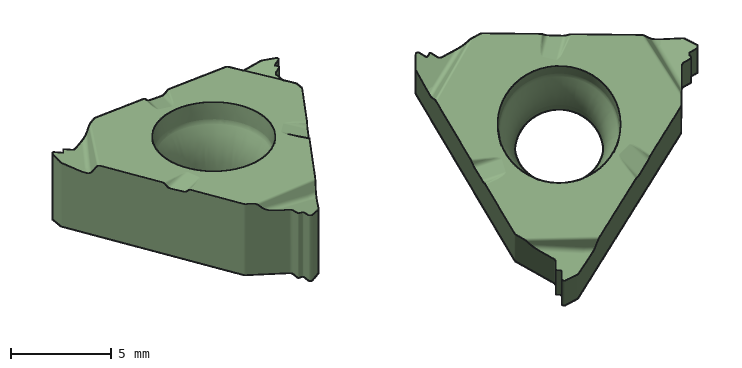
import math

import cadquery as cq

THICKNESS = 4.31
INRADIUS = 9.525 / 2
CORNER_COUNT = 3
CORNER_TURN = 360 / CORNER_COUNT

FLANK_ANGLE = 60
STEP_ANGLE = 30
FLANK_START_Y = 6.19
TOOTH_TOP_Y = 6.88
TOOTH_LAND_WIDTH = 0.15
TOOTH_NOSE_RADIUS = 0.10
TOOTH_VALLEY_Y = 6.434
STEP_LENGTH = 0.297
SHOULDER_Y = 6.10
STEP_RADIUS = 0.07
TOOTH_ROOT_RADIUS = 0.2
OUTLINE_RADIUS = 0.22

RAKE_ANGLE = 10
TOOTH_TOP_DROP = 0.33
RAKE_END_Y = 5.02
WALL_DIRECTION = 32
WALL_ANGLE = 60
WALL_START_Y = 4.03
RIM_RADIUS = 0.17
WALL_FOOT_RADIUS = 0.3
CUTTER_REACH = 4.0
CUTTER_HEIGHT = 1.0

NOTCH_LENGTH = 1.32
NOTCH_WIDTH = 0.93
NOTCH_DIRECTION = -13
NOTCH_SLOPE = 10
NOTCH_WALL_ANGLE = 45
NOTCH_RADIUS = 0.3
NOTCH_RIM_RADIUS = 0.15
NOTCH_CENTRE_Y = -0.23
NOTCH_OVERRUN = 0.5

BORE_RADIUS = 4.4 / 2
MOUTH_RADIUS = 3.08
SEAT_RIM_RADIUS = 3.0
SEAT_RIM_DEPTH = 1.12
SEAT_RIM_BLEND = 0.45
SEAT_BOTTOM_DEPTH = 3.53


def polar(length, angle):
    """Vector of a given length at an angle in degrees from the first axis."""
    turn = math.radians(angle)
    return cq.Vector(length * math.cos(turn), length * math.sin(turn))


def rotated(point, angle):
    """Point turned about the part's axis."""
    return polar(point.Length, angle + math.degrees(math.atan2(point.y, point.x)))


def at_each_corner(shape):
    """Three copies of a shape, one per corner, joined as one."""
    copies = cq.Workplane("XY")
    for index in range(CORNER_COUNT):
        copies = copies.add(shape.rotate((0, 0, 0), (0, 0, 1), index * CORNER_TURN))
    return copies.combine()


def corner_vertices():
    """Sharp outline points of one corner, clockwise, each with its rounding radius."""
    flank_slope = math.tan(math.radians(FLANK_ANGLE))
    flank_start = cq.Vector(-INRADIUS, FLANK_START_Y)
    land_start_x = flank_start.x + (TOOTH_TOP_Y - FLANK_START_Y) / flank_slope
    land_start = cq.Vector(land_start_x, TOOTH_TOP_Y)
    land_end = cq.Vector(land_start_x + TOOTH_LAND_WIDTH, TOOTH_TOP_Y)
    valley_x = land_end.x + (TOOTH_TOP_Y - TOOTH_VALLEY_Y) / flank_slope
    valley = cq.Vector(valley_x, TOOTH_VALLEY_Y)
    crest = valley + polar(STEP_LENGTH, STEP_ANGLE)
    root = cq.Vector(crest.x + (crest.y - SHOULDER_Y) / flank_slope, SHOULDER_Y)
    half_turn = math.radians(CORNER_TURN / 2)
    shoulder_end_x = (INRADIUS - SHOULDER_Y * math.sin(half_turn)) / math.cos(half_turn)
    shoulder_end = cq.Vector(shoulder_end_x, SHOULDER_Y)
    return [
        (flank_start, OUTLINE_RADIUS),
        (land_start, TOOTH_NOSE_RADIUS),
        (land_end, TOOTH_NOSE_RADIUS),
        (valley, STEP_RADIUS),
        (crest, STEP_RADIUS),
        (root, TOOTH_ROOT_RADIUS),
        (shoulder_end, OUTLINE_RADIUS),
    ]


def rounded_polygon(vertices):
    """Closed outline through (point, radius) vertices, each rounded by a tangent arc."""
    outline = None
    for index, (point, radius) in enumerate(vertices):
        before = (vertices[index - 1][0] - point).normalized()
        after = (vertices[(index + 1) % len(vertices)][0] - point).normalized()
        half_angle = before.getAngle(after) / 2
        setback = radius / math.tan(half_angle)
        arc_gap = radius / math.sin(half_angle) - radius
        start = point + before * setback
        middle = point + (before + after).normalized() * arc_gap
        end = point + after * setback
        if outline is None:
            outline = cq.Workplane("XY").moveTo(start.x, start.y)
        else:
            outline = outline.lineTo(start.x, start.y)
        outline = outline.threePointArc((middle.x, middle.y), (end.x, end.y))
    return outline.close()


def make_body():
    vertices = []
    for index in range(CORNER_COUNT):
        for point, radius in corner_vertices():
            vertices.append((rotated(point, -index * CORNER_TURN), radius))
    return rounded_polygon(vertices).extrude(THICKNESS)


def make_chip_breaker():
    """Cutter over one corner: a raked floor that ends at a steep wall."""
    rake = math.tan(math.radians(RAKE_ANGLE))
    top_z = THICKNESS + CUTTER_HEIGHT
    outer_y = TOOTH_TOP_Y + CUTTER_REACH
    inner_y = RAKE_END_Y - CUTTER_REACH
    tooth_top_z = THICKNESS - TOOTH_TOP_DROP
    level_z = tooth_top_z - rake * (TOOTH_TOP_Y - RAKE_END_Y)
    outer_z = tooth_top_z + rake * CUTTER_REACH
    above_floor = (
        cq.Workplane("YZ")
        .moveTo(inner_y, level_z)
        .lineTo(RAKE_END_Y, level_z)
        .lineTo(outer_y, outer_z)
        .lineTo(outer_y, top_z)
        .lineTo(inner_y, top_z)
        .close()
        .extrude(INRADIUS + CUTTER_REACH, both=True)
    )

    along_wall = polar(1, WALL_DIRECTION)
    outward = polar(1, WALL_DIRECTION + 90)
    wall_plane = cq.Plane((-INRADIUS, WALL_START_Y, THICKNESS), outward, along_wall)
    rim_end = polar(RIM_RADIUS, 90 - WALL_ANGLE) - cq.Vector(0, RIM_RADIUS)
    rim_middle = polar(RIM_RADIUS, 90 - WALL_ANGLE / 2) - cq.Vector(0, RIM_RADIUS)
    wall_foot = rim_end + polar(CUTTER_HEIGHT, -WALL_ANGLE)
    outside_wall = (
        cq.Workplane(wall_plane)
        .moveTo(0, 0)
        .threePointArc((rim_middle.x, rim_middle.y), (rim_end.x, rim_end.y))
        .lineTo(wall_foot.x, wall_foot.y)
        .lineTo(CUTTER_REACH, wall_foot.y)
        .lineTo(CUTTER_REACH, CUTTER_HEIGHT)
        .lineTo(0, CUTTER_HEIGHT)
        .close()
        .extrude(INRADIUS + CUTTER_REACH, both=True)
    )
    cutter = above_floor.intersect(outside_wall)
    foot_zone = cq.selectors.BoxSelector(
        (-INRADIUS - CUTTER_REACH / 2, WALL_START_Y - CUTTER_HEIGHT, level_z - RIM_RADIUS),
        (0, TOOTH_TOP_Y, tooth_top_z + RIM_RADIUS),
    )
    crease = cq.selectors.ParallelDirSelector(cq.Vector(1, 0, 0))
    return cutter.edges(foot_zone - crease).fillet(WALL_FOOT_RADIUS)


def notch_inner_end():
    """Middle of the edge where the notch floor meets the top face."""
    face_point = cq.Vector(-INRADIUS, NOTCH_CENTRE_Y)
    return face_point + polar(NOTCH_LENGTH, NOTCH_DIRECTION)


def make_notch():
    """Cutter with a flat sloping floor that runs out at the top face."""
    outward_turn = NOTCH_DIRECTION + 180
    level_run = polar(math.cos(math.radians(NOTCH_SLOPE)), outward_turn)
    drop = math.sin(math.radians(NOTCH_SLOPE))
    floor_direction = level_run - cq.Vector(0, 0, drop)
    across = polar(1, outward_turn + 90)
    inner_end = notch_inner_end() + cq.Vector(0, 0, THICKNESS)
    half_floor = NOTCH_WIDTH / 2
    half_top = half_floor + CUTTER_HEIGHT / math.tan(math.radians(NOTCH_WALL_ANGLE))
    return (
        cq.Workplane(cq.Plane(inner_end, across, floor_direction))
        .polyline([
            (-half_floor, 0),
            (half_floor, 0),
            (half_top, CUTTER_HEIGHT),
            (-half_top, CUTTER_HEIGHT),
        ])
        .close()
        .extrude(NOTCH_LENGTH + NOTCH_OVERRUN)
        .edges(cq.selectors.ParallelDirSelector(floor_direction))
        .fillet(NOTCH_RADIUS)
    )


def round_notch_rims(body):
    """Round each notch rim; it is one smooth chain through the inner end edge."""
    for index in range(CORNER_COUNT):
        inner_end = rotated(notch_inner_end(), index * CORNER_TURN)
        place = (inner_end.x, inner_end.y, THICKNESS)
        rim = cq.selectors.NearestToPointSelector(place)
        body = body.edges(rim).fillet(NOTCH_RIM_RADIUS)
    return body


def make_screw_hole():
    """Turned cutter: tapered mouth, curved seat and straight bore."""
    seat_rim_z = THICKNESS - SEAT_RIM_DEPTH
    seat_bottom_z = THICKNESS - SEAT_BOTTOM_DEPTH
    seat_rise = seat_rim_z - seat_bottom_z
    seat_spread = SEAT_RIM_RADIUS - BORE_RADIUS
    seat_radius = (seat_rise**2 + seat_spread**2) / (2 * seat_spread)
    half_sweep = math.asin(seat_rise / seat_radius) / 2
    middle_radius = BORE_RADIUS + seat_radius * (1 - math.cos(half_sweep))
    middle_z = seat_bottom_z + seat_radius * math.sin(half_sweep)
    rim_circle = cq.selectors.BoxSelector(
        (-SEAT_RIM_RADIUS, -SEAT_RIM_RADIUS, seat_rim_z - SEAT_RIM_BLEND),
        (SEAT_RIM_RADIUS, SEAT_RIM_RADIUS, seat_rim_z + SEAT_RIM_BLEND),
    )
    return (
        cq.Workplane("XZ")
        .moveTo(0, 0)
        .lineTo(BORE_RADIUS, 0)
        .lineTo(BORE_RADIUS, seat_bottom_z)
        .threePointArc((middle_radius, middle_z), (SEAT_RIM_RADIUS, seat_rim_z))
        .lineTo(MOUTH_RADIUS, THICKNESS)
        .lineTo(0, THICKNESS)
        .close()
        .revolve()
        .edges("%CIRCLE")
        .edges(rim_circle)
        .fillet(SEAT_RIM_BLEND)
    )


notched_body = round_notch_rims(make_body().cut(at_each_corner(make_notch())))
result = notched_body.cut(at_each_corner(make_chip_breaker())).cut(make_screw_hole())